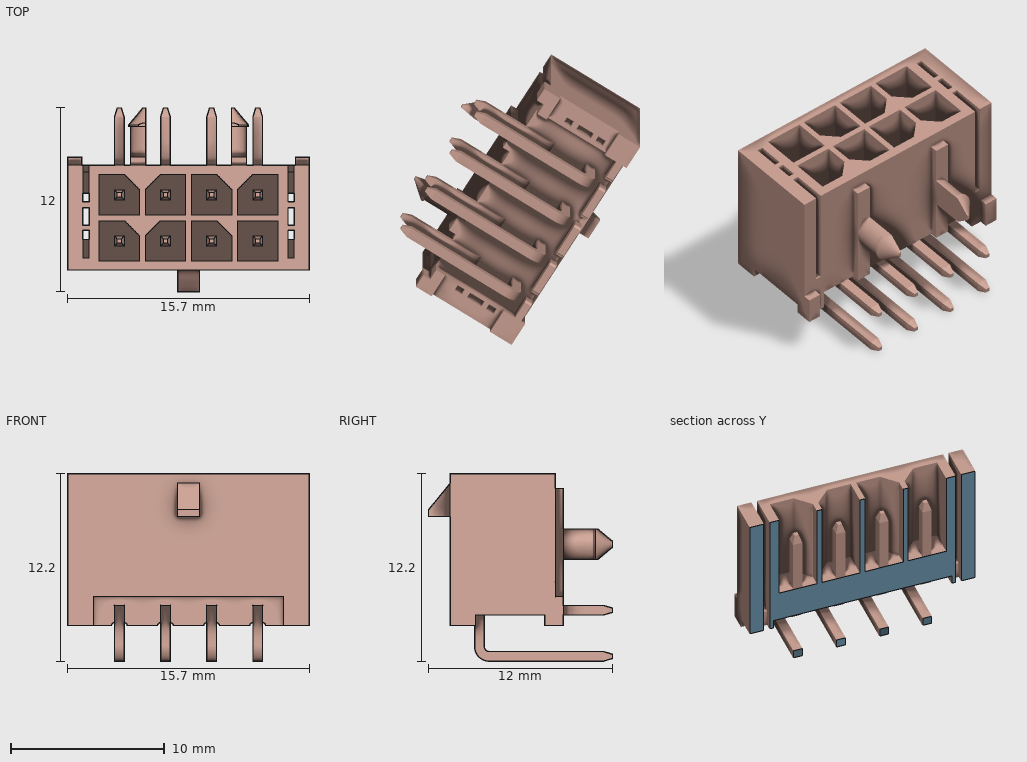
import cadquery as cq


pitch = 3.0
column_count = 4
column_xs = [(i - (column_count - 1) / 2) * pitch for i in range(column_count)]
front_row_y = 1.9
back_row_y = front_row_y + pitch

housing_width = 15.7
housing_depth = 6.83
housing_height = 9.89

cavity_side = 2.62
cavity_corner = 0.97
cavity_depth = 6.28

latch_width = 1.43
latch_reach = 1.41
latch_top_drop = 0.63
latch_nose_drop = 2.35
latch_bottom_drop = 2.81

end_wall = 1.66
inner_width = housing_width - 2 * end_wall
recess_height = 1.88
recess_depth = 0.31
lip_thickness = 0.47
chamber_height = 1.32
notch_front_y = 1.65
notch_back_y = 6.14
notch_height = 0.69
slot_corner_radius = 0.19

slit_width = 0.4
slit_inner_x = 6.47
front_slit_start_y = 0.8
front_slit_end_y = 2.59
front_slit_through_y = 2.01
middle_slit_start_y = 2.94
middle_slit_end_y = 4.05
back_slit_start_y = 4.46
back_slit_through_y = 5.0
back_slit_ledge_y = 6.39
slit_floor_z = recess_height
ledge_z = 2.83

standoff = 0.52
foot_width = 0.91
peg_flat_x = 2.78
peg_radius = 1.0
rail_top_z = 8.92
peg_z = 5.29
barb_radius = 1.11
barb_half_height = peg_radius
barb_start_y = 9.34
barb_cone_y = 9.45
peg_tip_y = 10.44
peg_tip_radius = 0.28
peg_end_radius = 0.2

pin_side = 0.65
pin_tip_side = 0.28
pin_tip_length = 0.6
pin_inner_bend = 0.31
tail_end_y = 10.55
front_tail_z = -2.0
back_tail_z = front_tail_z + pitch
contact_top_z = 8.0


def box(x_range, y_range, z_range):
    """Axis-aligned block given by its limits on each axis."""
    (x0, x1), (y0, y1), (z0, z1) = x_range, y_range, z_range
    return cq.Workplane("XY").box(x1 - x0, y1 - y0, z1 - z0, centered=False).translate((x0, y0, z0))


def both_ends(shape):
    """The shape together with its mirror image across the middle of the row."""
    return shape.union(shape.mirror("YZ"))


def pin_tip(plane):
    """Square pyramid frustum that closes one end of a terminal."""
    return (
        cq.Workplane(plane)
        .rect(pin_side, pin_side)
        .workplane(offset=pin_tip_length)
        .rect(pin_tip_side, pin_tip_side)
        .loft(ruled=True)
    )


def make_terminal(x, row_y, tail_z):
    """Square wire: contact standing in the cavity, one bend, tail pointing to +Y."""
    half = pin_side / 2
    contact_end_z = contact_top_z - pin_tip_length
    tail_shoulder_y = tail_end_y - pin_tip_length
    wire = (
        cq.Workplane("YZ")
        .polyline([
            (row_y - half, contact_end_z),
            (row_y - half, tail_z - half),
            (tail_shoulder_y, tail_z - half),
            (tail_shoulder_y, tail_z + half),
            (row_y + half, tail_z + half),
            (row_y + half, contact_end_z),
        ])
        .close()
        .extrude(half, both=True)
    )
    inner_corner = cq.selectors.NearestToPointSelector((0, row_y + half, tail_z + half))
    outer_corner = cq.selectors.NearestToPointSelector((0, row_y - half, tail_z - half))
    wire = wire.edges("|X").edges(inner_corner).fillet(pin_inner_bend)
    wire = wire.edges("|X").edges(outer_corner).fillet(pin_inner_bend + pin_side)

    contact_tip = pin_tip(cq.Plane((0, row_y, contact_end_z), (1, 0, 0), (0, 0, 1)))
    tail_tip = pin_tip(cq.Plane((0, tail_shoulder_y, tail_z), (1, 0, 0), (0, 1, 0)))
    return wire.union(contact_tip).union(tail_tip).translate((x, 0, 0))


def make_latch():
    profile = [
        (0, housing_height - latch_top_drop),
        (-latch_reach, housing_height - latch_nose_drop),
        (-latch_reach, housing_height - latch_bottom_drop),
        (0, housing_height - latch_bottom_drop),
    ]
    return cq.Workplane("YZ").polyline(profile).close().extrude(latch_width / 2, both=True)


def make_feet():
    foot = box(
        (housing_width / 2 - foot_width, housing_width / 2),
        (housing_depth, housing_depth + standoff),
        (0, recess_height),
    )
    return both_ends(foot)


def make_pegs():
    """Half-round barbed peg on an upright rail, one on each side of the middle."""
    rail_back_y = housing_depth + standoff
    rail = box(
        (peg_flat_x, peg_flat_x + peg_radius),
        (housing_depth, rail_back_y),
        (chamber_height, rail_top_z),
    )
    peg = (
        cq.Workplane("XY", origin=(peg_flat_x, 0, peg_z))
        .polyline([
            (0, rail_back_y),
            (peg_radius, rail_back_y),
            (peg_radius, barb_start_y),
            (barb_radius, barb_start_y),
            (barb_radius, barb_cone_y),
            (peg_tip_radius, peg_tip_y),
            (peg_end_radius, tail_end_y),
            (0, tail_end_y),
        ])
        .close()
        .revolve(360, (0, 0, 0), (0, 1, 0))
    )
    envelope = box(
        (peg_flat_x, peg_flat_x + barb_radius),
        (rail_back_y, tail_end_y),
        (peg_z - barb_half_height, peg_z + barb_half_height),
    )
    return both_ends(rail.union(peg.intersect(envelope)))


def make_cavity(x, row_y, corner_side):
    """Square pocket; corner_side is +1 or -1 for the cut rear corner, 0 for none."""
    half = cavity_side / 2
    cavity = box(
        (-half, half),
        (-half, half),
        (housing_height - cavity_depth, housing_height),
    )
    if corner_side:
        corner_edge = ">X and >Y" if corner_side > 0 else "<X and >Y"
        cavity = cavity.edges("|Z").edges(corner_edge).chamfer(cavity_corner)
    return cavity.translate((x, row_y, 0))


def make_underside_cuts():
    """Front recess, end notches and the chamber that opens to the board side."""
    half = inner_width / 2
    recess = box((-half, half), (0, recess_depth), (0, recess_height))
    chamber = box((-half, half), (recess_depth + lip_thickness, housing_depth), (0, chamber_height))
    notch = box(
        (-housing_width / 2, housing_width / 2),
        (notch_front_y, notch_back_y),
        (0, notch_height),
    )
    return recess.union(chamber).union(notch)


def make_lip_slot(x):
    """Opening through the front lip at one column, its mouth rounded at both corners."""
    half = pin_side / 2
    radius = slot_corner_radius
    return (
        cq.Workplane("XZ", origin=(x, recess_depth, 0))
        .moveTo(-half - radius, 0)
        .radiusArc((-half, radius), radius)
        .lineTo(-half, chamber_height)
        .lineTo(half, chamber_height)
        .lineTo(half, radius)
        .radiusArc((half + radius, 0), radius)
        .close()
        .extrude(-lip_thickness)
    )


def make_slits():
    """Three slits in line at each end; the outer two are closed below over part of their length."""
    x_range = (slit_inner_x, slit_inner_x + slit_width)
    stretches = [
        (front_slit_start_y, front_slit_through_y, slit_floor_z),
        (front_slit_through_y, front_slit_end_y, 0),
        (middle_slit_start_y, middle_slit_end_y, 0),
        (back_slit_start_y, back_slit_through_y, 0),
        (back_slit_through_y, back_slit_ledge_y, slit_floor_z),
        (back_slit_ledge_y, housing_depth, ledge_z),
    ]
    slits = cq.Workplane("XY")
    for start_y, end_y, floor_z in stretches:
        slits = slits.union(box(x_range, (start_y, end_y), (floor_z, housing_height)))
    return both_ends(slits)


def make_housing(terminals):
    housing = box(
        (-housing_width / 2, housing_width / 2),
        (0, housing_depth),
        (0, housing_height),
    )
    housing = housing.union(make_latch()).union(make_feet()).union(make_pegs())
    housing = housing.cut(make_underside_cuts()).cut(make_slits())

    for i, x in enumerate(column_xs):
        corner_side = 1 if i % 2 == 0 else -1
        front_corner = 0 if i == column_count - 1 else corner_side
        housing = housing.cut(make_cavity(x, front_row_y, front_corner))
        housing = housing.cut(make_cavity(x, back_row_y, corner_side))
        housing = housing.cut(make_lip_slot(x))

    for terminal in terminals:
        housing = housing.cut(terminal)
    return housing


terminals = []
for column_x in column_xs:
    terminals.append(make_terminal(column_x, front_row_y, front_tail_z))
    terminals.append(make_terminal(column_x, back_row_y, back_tail_z))

housing = make_housing(terminals)

result = cq.Compound.makeCompound([housing.val(), *[terminal.val() for terminal in terminals]])